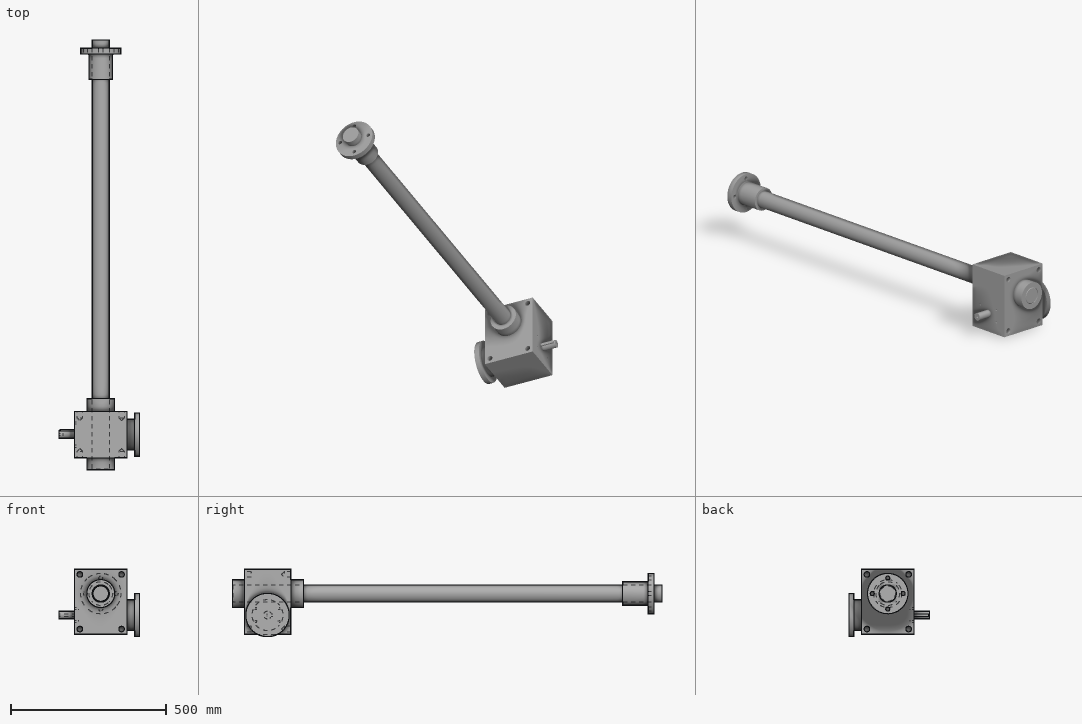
import cadquery as cq


HOUSING_X = 170.0
HOUSING_Y = 149.0
HOUSING_Z = 210.0
SCREW_BELOW_TOP = 79.0
SHAFT_BELOW_SCREW = 69.0
COLLAR_DIA = 90.0
FRONT_COLLAR_LENGTH = 39.0
REAR_COLLAR_LENGTH = 41.0

MOUNT_HOLE_DIA = 18.0
MOUNT_HOLE_DEPTH = 21.0
MOUNT_SPACING_X = 134.0
MOUNT_SPACING_Z = 175.0

SIDE_HOLE_DIA = 6.6
SIDE_HOLE_DEPTH = 14.0
SIDE_SPACING_Y = 75.0
SIDE_SPACING_Z = 41.0

SHAFT_DIA = 25.0
SHAFT_LENGTH = 50.0
SHAFT_CENTRE_HOLE_DIA = 6.6
SHAFT_CENTRE_HOLE_DEPTH = 14.0
KEY_WIDTH = 8.0
KEY_HEIGHT = 4.0
KEY_END_GAP = 4.0

MOTOR_NECK_DIA = 100.0
MOTOR_NECK_LENGTH = 23.0
MOTOR_FLANGE_DIA = 140.0
MOTOR_FLANGE_THICKNESS = 17.0

SCREW_LENGTH = 1380.0
SCREW_DIA = 55.0
SCREW_CHAMFER = 3.0

NUT_SLEEVE_DIA = 76.0
NUT_FLANGE_DIA = 130.0
NUT_FLANGE_THICKNESS = 20.0
NUT_LENGTH = 101.0
NUT_FILLET = 3.0
SCREW_BEYOND_NUT = 26.0
NUT_HOLE_DIA = 13.0
NUT_HOLE_CIRCLE_DIA = 100.0
NUT_HOLE_COUNT = 4

HOUSING_MID_Z = SCREW_BELOW_TOP - HOUSING_Z / 2
HOUSING_LEFT = -HOUSING_X / 2
HOUSING_RIGHT = HOUSING_X / 2
HOUSING_FRONT = -HOUSING_Y / 2
SHAFT_Z = -SHAFT_BELOW_SCREW
SCREW_START = HOUSING_FRONT - FRONT_COLLAR_LENGTH
SCREW_END = SCREW_START + SCREW_LENGTH
REAR_COLLAR_END = HOUSING_Y / 2 + REAR_COLLAR_LENGTH
NUT_END = SCREW_END - SCREW_BEYOND_NUT
NUT_START = NUT_END - NUT_LENGTH
NUT_FLANGE_START = NUT_END - NUT_FLANGE_THICKNESS


def rod_y(diameter, y_start, y_end, x=0, z=0):
    """Cylinder along Y, on the lead screw axis unless placed elsewhere."""
    start = cq.Vector(x, y_start, z)
    return cq.Workplane(cq.Solid.makeCylinder(diameter / 2, y_end - y_start, start, cq.Vector(0, 1, 0)))


def rod_x(diameter, x_start, x_end, y=0, z=SHAFT_Z):
    """Cylinder along X, on the input shaft axis unless placed elsewhere."""
    start = cq.Vector(x_start, y, z)
    return cq.Workplane(cq.Solid.makeCylinder(diameter / 2, x_end - x_start, start, cq.Vector(1, 0, 0)))


def corner_points(spacing_a, spacing_b):
    """Four corners of a rectangle centred on the origin."""
    return [(a * spacing_a / 2, b * spacing_b / 2) for a in (-1, 1) for b in (-1, 1)]


def make_mount_hole(x, z):
    """Drilled hole with a 90 degree point, entering the front face of the housing."""
    radius = MOUNT_HOLE_DIA / 2
    point_depth = MOUNT_HOLE_DEPTH + radius
    profile = [(0, 0), (radius, 0), (radius, MOUNT_HOLE_DEPTH), (0, point_depth)]
    hole = cq.Workplane("XY").polyline(profile).close().revolve(360, (0, 0), (0, 1))
    return hole.translate((x, HOUSING_FRONT, z))


def make_housing():
    housing = cq.Workplane("XY").box(HOUSING_X, HOUSING_Y, HOUSING_Z)
    housing = housing.translate((0, 0, HOUSING_MID_Z))

    housing = housing.union(rod_y(COLLAR_DIA, SCREW_START, REAR_COLLAR_END))
    housing = housing.cut(rod_y(SCREW_DIA, SCREW_START, REAR_COLLAR_END))

    for x, z in corner_points(MOUNT_SPACING_X, MOUNT_SPACING_Z):
        hole = make_mount_hole(x, HOUSING_MID_Z + z)
        housing = housing.cut(hole).cut(hole.mirror("XZ"))

    hole_floor = HOUSING_LEFT + SIDE_HOLE_DEPTH
    for y, z in corner_points(SIDE_SPACING_Y, SIDE_SPACING_Z):
        housing = housing.cut(rod_x(SIDE_HOLE_DIA, HOUSING_LEFT, hole_floor, y, SHAFT_Z + z))
    return housing


def make_input_shaft():
    shaft_end = HOUSING_LEFT - SHAFT_LENGTH
    shaft = rod_x(SHAFT_DIA, shaft_end, HOUSING_LEFT)

    key_length = SHAFT_LENGTH - KEY_END_GAP
    key_reach = SHAFT_DIA / 2 + KEY_HEIGHT
    key = cq.Workplane("XY").box(key_length, key_reach, KEY_WIDTH, centered=(False, False, True))
    shaft = shaft.union(key.translate((shaft_end + KEY_END_GAP, 0, SHAFT_Z)))

    return shaft.cut(rod_x(SHAFT_CENTRE_HOLE_DIA, shaft_end, shaft_end + SHAFT_CENTRE_HOLE_DEPTH))


def make_motor_flange():
    neck_end = HOUSING_RIGHT + MOTOR_NECK_LENGTH
    neck = rod_x(MOTOR_NECK_DIA, HOUSING_RIGHT, neck_end)
    return neck.union(rod_x(MOTOR_FLANGE_DIA, neck_end, neck_end + MOTOR_FLANGE_THICKNESS))


def make_lead_screw():
    screw = rod_y(SCREW_DIA, SCREW_START, SCREW_END)
    return screw.faces("<Y").chamfer(SCREW_CHAMFER)


def make_nut():
    sleeve_radius = NUT_SLEEVE_DIA / 2
    flange_radius = NUT_FLANGE_DIA / 2
    nut = (
        cq.Workplane("XY")
        .moveTo(SCREW_DIA / 2, NUT_START)
        .lineTo(sleeve_radius, NUT_START)
        .lineTo(sleeve_radius, NUT_FLANGE_START - NUT_FILLET)
        .radiusArc((sleeve_radius + NUT_FILLET, NUT_FLANGE_START), NUT_FILLET)
        .lineTo(flange_radius, NUT_FLANGE_START)
        .lineTo(flange_radius, NUT_END)
        .lineTo(SCREW_DIA / 2, NUT_END)
        .close()
        .revolve(360, (0, 0), (0, 1))
    )

    hole = rod_y(NUT_HOLE_DIA, NUT_FLANGE_START, NUT_END, NUT_HOLE_CIRCLE_DIA / 2)
    for index in range(NUT_HOLE_COUNT):
        nut = nut.cut(hole.rotate((0, 0, 0), (0, 1, 0), index * 360 / NUT_HOLE_COUNT))
    return nut


housing = make_housing()
input_shaft = make_input_shaft()
motor_flange = make_motor_flange()
lead_screw = make_lead_screw()
nut = make_nut()

result = cq.Compound.makeCompound([
    housing.solids().val(),
    input_shaft.solids().val(),
    motor_flange.solids().val(),
    lead_screw.solids().val(),
    nut.solids().val(),
])